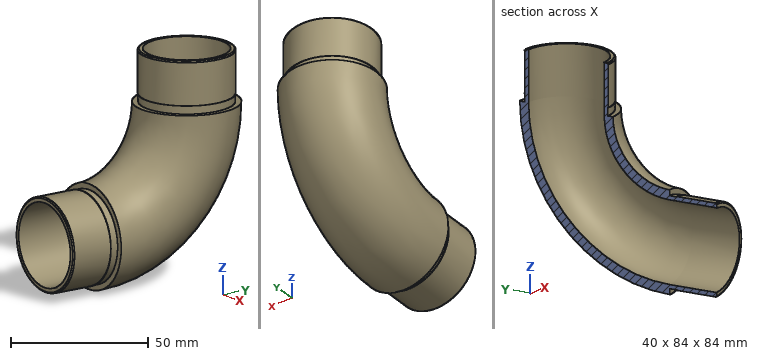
import cadquery as cq

overall_size = 84.0
body_diameter = 40.0
bore_diameter = 32.0
neck_diameter = 35.5
spigot_diameter = 35.9
end_length = 20.0
neck_length = 3.1
end_chamfer = 0.5
bend_angle = 90

bend_radius = overall_size - end_length - body_diameter / 2

upper_end = cq.Plane(origin=(0, 0, bend_radius), xDir=(1, 0, 0), normal=(0, 0, 1))
front_end = cq.Plane(origin=(0, -bend_radius, 0), xDir=(1, 0, 0), normal=(0, -1, 0))


def quarter_bend(diameter):
    """Solid quarter torus joining the two end planes."""
    return (
        cq.Workplane(front_end)
        .circle(diameter / 2)
        .revolve(bend_angle, (0, bend_radius, 0), (1, bend_radius, 0))
    )


def spigot(end_plane):
    """Slightly reduced neck followed by a cylinder with a chamfered rim."""
    neck = cq.Workplane(end_plane).circle(neck_diameter / 2).extrude(neck_length)
    sleeve = (
        cq.Workplane(end_plane)
        .workplane(offset=neck_length)
        .circle(spigot_diameter / 2)
        .extrude(end_length - neck_length)
        .faces(cq.selectors.DirectionMinMaxSelector(end_plane.zDir))
        .chamfer(end_chamfer)
    )
    return neck.union(sleeve)


def straight_bore(end_plane):
    return cq.Workplane(end_plane).circle(bore_diameter / 2).extrude(end_length)


body = quarter_bend(body_diameter)
bore = quarter_bend(bore_diameter)
for end_plane in (upper_end, front_end):
    body = body.union(spigot(end_plane))
    bore = bore.union(straight_bore(end_plane))

result = body.cut(bore)